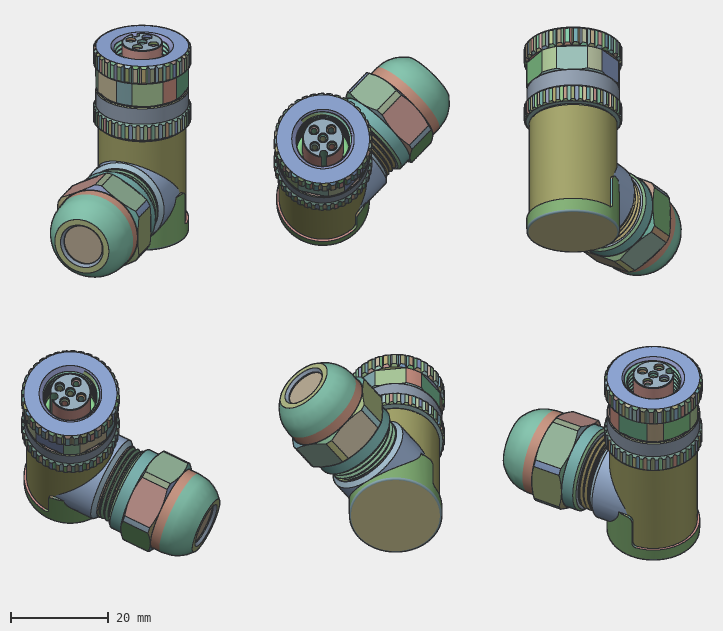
import cadquery as cq
import math


gland_axis_z = 10.7
housing_top_z = 25.2
sleeve_top_z = 32.6
nut_top_z = 42.1
insert_top_z = 43.0

body_radius = 9.0
body_top_chamfer = 0.55
cap_radius = 9.5
cap_rim_height = 3.0
cap_corner_radius = 1.0
cap_bottom_fillet = 0.4
branch_radius = 8.9
branch_end = 9.5

gland_thread_radius = 8.0
gland_thread_root = 7.4
shoulder_end = branch_end + branch_radius - gland_thread_radius
shoulder_land = 0.3
gland_thread_start = shoulder_end + shoulder_land
gland_thread_phase = -0.22
thread_pitch = 1.0
thread_root_overlap = 0.1
thread_foot_width = 0.96
spigot_end = 18.0

gland_nut_start = 13.45
gland_hex_start = 16.5
gland_hex_end = 23.4
gland_dome_start = 25.5
gland_end = 31.5
gland_nut_radius = 8.9
gland_nut_chamfer = 0.5
gland_hex_flats = 18.0
gland_hex_corner_radius = 10.0
gland_hex_chamfer_length = 0.55
gland_face_radius = 6.0
gland_opening_radius = 4.75
gland_recess_radius = 4.25
gland_recess_taper = 0.65
gland_recess_depth = 0.9

hex_sides = 6

knurl_radius = 10.0
knurl_chamfer = 0.5
nut_tooth_count = 36
nut_groove_width = 0.85
sleeve_groove_count = 40
sleeve_groove_radius = 0.45
sleeve_groove_offset = 0.15

sleeve_radius = 9.5
sleeve_top_chamfer = 0.2
sleeve_knurl_top_z = 28.9
sleeve_knurl_bottom_chamfer = 0.35

nut_knurl_bottom_z = 38.0
nut_corner_radius = 9.5
nut_hex_flats = 17.9
nut_hex_bottom_radius = 8.9
nut_hex_chamfer_height = 0.4
nut_thread_minor = 5.45
nut_thread_major = 6.05
nut_mouth_radius = 6.4
nut_thread_depth = 7.5
nut_thread_phase = 0.75

insert_radius = 4.15
insert_chamfer = 0.15
insert_base_radius = 5.8
key_slot_radius = 0.8
key_slot_centre_radius = 3.5
key_slot_angle = 135
contact_circle_radius = 2.5
contact_count = 4
contact_radius = 1.0
contact_recess = 0.6
contact_length = 10.0
socket_radius = 0.6
socket_mouth_radius = 0.9
socket_depth = 6.0
drill_point_angle = 118
ring_section_radius = (nut_thread_minor - insert_radius) / 2
ring_centre_radius = insert_radius + ring_section_radius


def cylinder(radius, bottom, top):
    """Cylinder on the Z axis between two heights."""
    return cq.Workplane("XY").workplane(offset=bottom).circle(radius).extrude(top - bottom)


def revolved(points):
    """Solid of revolution about Z from (radius, height) points."""
    return cq.Workplane("XZ").polyline(points).close().revolve(360, (0, 0), (0, 1))


def on_gland_axis(shape):
    """Turn a shape built along +Z so that it lies along the gland axis toward -Y."""
    return shape.rotate((0, 0, 0), (1, 0, 0), 90).translate((0, 0, gland_axis_z))


def helical_ridge(root_radius, tip_radius, start, end, phase):
    """Right-hand V-shaped thread ridge, cut off flat at both ends."""
    helix_start = math.floor(start) - thread_pitch + phase * thread_pitch
    helix_length = math.ceil(end - helix_start) + thread_pitch
    helix = cq.Wire.makeHelix(thread_pitch, helix_length, root_radius)
    foot_radius = root_radius - thread_root_overlap
    half_foot = thread_foot_width / 2
    profile = cq.Workplane("XZ").polyline(
        [(foot_radius, -half_foot), (tip_radius, 0), (foot_radius, half_foot)]
    ).close()
    ridge = profile.sweep(cq.Workplane(obj=helix), isFrenet=True).translate((0, 0, helix_start))
    return ridge.intersect(cylinder(tip_radius + thread_pitch, start, end))


def make_housing():
    body = cylinder(body_radius, 0, housing_top_z).faces(">Z").chamfer(body_top_chamfer)

    cap_side = (
        cq.Workplane("YZ")
        .moveTo(-cap_radius, 0)
        .lineTo(-cap_radius, gland_axis_z)
        .lineTo(-cap_corner_radius, gland_axis_z)
        .radiusArc((0, gland_axis_z - cap_corner_radius), cap_corner_radius)
        .lineTo(0, cap_rim_height + cap_corner_radius)
        .radiusArc((cap_corner_radius, cap_rim_height), -cap_corner_radius)
        .lineTo(cap_radius, cap_rim_height)
        .lineTo(cap_radius, 0)
        .close()
        .extrude(cap_radius, both=True)
    )
    cap = cylinder(cap_radius, 0, gland_axis_z).faces("<Z").fillet(cap_bottom_fillet)
    cap = cap.intersect(cap_side)

    branch = revolved([
        (0, 0),
        (branch_radius, 0),
        (branch_radius, branch_end),
        (gland_thread_radius, shoulder_end),
        (gland_thread_radius, gland_thread_start),
        (gland_thread_root, gland_thread_start),
        (gland_thread_root, spigot_end),
        (0, spigot_end),
    ])
    thread = helical_ridge(
        gland_thread_root, gland_thread_radius, gland_thread_start, gland_nut_start, gland_thread_phase
    )
    branch = branch.union(thread)
    return body.union(cap).union(on_gland_axis(branch))


def make_gland_nut():
    shell = (
        cq.Workplane("XZ")
        .moveTo(0, gland_nut_start)
        .lineTo(gland_nut_radius - gland_nut_chamfer, gland_nut_start)
        .lineTo(gland_nut_radius, gland_nut_start + gland_nut_chamfer)
        .lineTo(gland_nut_radius, gland_dome_start)
        .tangentArcPoint((gland_face_radius, gland_end), relative=False)
        .lineTo(0, gland_end)
        .close()
        .revolve(360, (0, 0), (0, 1))
    )
    flats_radius = gland_hex_flats / 2
    hexagon = (
        cq.Workplane("XY")
        .workplane(offset=gland_hex_start)
        .polygon(hex_sides, gland_hex_flats, circumscribed=True)
        .extrude(gland_hex_end - gland_hex_start)
    )
    hex_limit = revolved([
        (0, gland_hex_start),
        (flats_radius, gland_hex_start),
        (gland_hex_corner_radius, gland_hex_start + gland_hex_chamfer_length),
        (gland_hex_corner_radius, gland_hex_end - gland_hex_chamfer_length),
        (flats_radius, gland_hex_end),
        (0, gland_hex_end),
    ])
    cable_recess = revolved([
        (0, gland_end - gland_recess_depth),
        (gland_recess_radius, gland_end - gland_recess_depth),
        (gland_recess_radius, gland_end - gland_recess_taper),
        (gland_opening_radius, gland_end),
        (0, gland_end),
    ])
    nut = shell.union(hexagon.intersect(hex_limit))
    nut = nut.cut(cylinder(gland_thread_root, gland_nut_start, spigot_end)).cut(cable_recess)
    return on_gland_axis(nut)


def make_sleeve():
    """Knurled ring clamping the insert base onto the housing."""
    sleeve = cylinder(sleeve_radius, housing_top_z, sleeve_top_z).faces(">Z").chamfer(sleeve_top_chamfer)
    knurl = revolved([
        (0, housing_top_z),
        (knurl_radius - sleeve_knurl_bottom_chamfer, housing_top_z),
        (knurl_radius, housing_top_z + sleeve_knurl_bottom_chamfer),
        (knurl_radius, sleeve_knurl_top_z - knurl_chamfer),
        (knurl_radius - knurl_chamfer, sleeve_knurl_top_z),
        (0, sleeve_knurl_top_z),
    ])
    grooves = (
        cq.Workplane("XY")
        .workplane(offset=housing_top_z)
        .polarArray(knurl_radius + sleeve_groove_offset, 0, 360, sleeve_groove_count)
        .circle(sleeve_groove_radius)
        .extrude(sleeve_knurl_top_z - housing_top_z)
    )
    return sleeve.union(knurl.cut(grooves)).cut(cylinder(insert_base_radius, housing_top_z, sleeve_top_z))


def make_coupling_nut():
    """Knurled and hexagonal nut with an internal thread."""
    hexagon = (
        cq.Workplane("XY")
        .workplane(offset=sleeve_top_z)
        .polygon(hex_sides, nut_hex_flats, circumscribed=True)
        .extrude(nut_knurl_bottom_z - sleeve_top_z)
    )
    hex_limit = revolved([
        (0, sleeve_top_z),
        (nut_hex_bottom_radius, sleeve_top_z),
        (nut_corner_radius, sleeve_top_z + nut_hex_chamfer_height),
        (nut_corner_radius, nut_knurl_bottom_z),
        (0, nut_knurl_bottom_z),
    ])
    knurl = cylinder(knurl_radius, nut_knurl_bottom_z, nut_top_z).edges().chamfer(knurl_chamfer)
    valley_radius = knurl_radius - knurl_chamfer
    groove = (
        cq.Workplane("XY")
        .workplane(offset=nut_knurl_bottom_z)
        .polyline([
            (valley_radius, 0),
            (knurl_radius, -nut_groove_width / 2),
            (knurl_radius + knurl_chamfer, -nut_groove_width / 2),
            (knurl_radius + knurl_chamfer, nut_groove_width / 2),
            (knurl_radius, nut_groove_width / 2),
        ])
        .close()
        .extrude(nut_top_z - nut_knurl_bottom_z)
    )
    for tooth in range(nut_tooth_count):
        knurl = knurl.cut(groove.rotate((0, 0, 0), (0, 0, 1), tooth * 360 / nut_tooth_count))

    mouth_depth = nut_mouth_radius - nut_thread_minor
    bore = revolved([
        (0, sleeve_top_z),
        (nut_thread_minor, sleeve_top_z),
        (nut_thread_minor, nut_top_z - mouth_depth),
        (nut_mouth_radius, nut_top_z),
        (0, nut_top_z),
    ])
    thread = helical_ridge(
        nut_thread_minor, nut_thread_major, nut_top_z - nut_thread_depth, nut_top_z, nut_thread_phase
    )
    return hexagon.intersect(hex_limit).union(knurl).cut(bore).cut(thread)


def contact_space():
    """Room for a contact on the Z axis, open at the top of the insert."""
    return cylinder(contact_radius, insert_top_z - contact_recess - contact_length, insert_top_z)


def socket(end_depth):
    """Countersunk bore on the Z axis; end_depth is the height of its conical end (0 for flat)."""
    top = insert_top_z - contact_recess
    countersink_depth = socket_mouth_radius - socket_radius
    return revolved([
        (0, top),
        (socket_mouth_radius, top),
        (socket_radius, top - countersink_depth),
        (socket_radius, top - socket_depth),
        (0, top - socket_depth - end_depth),
    ])


contact_places = [
    (
        contact_circle_radius * math.cos(2 * math.pi * index / contact_count),
        contact_circle_radius * math.sin(2 * math.pi * index / contact_count),
        0,
    )
    for index in range(contact_count)
]


def make_insert():
    insert = cylinder(insert_radius, sleeve_top_z, insert_top_z).faces(">Z").chamfer(insert_chamfer)
    insert = insert.union(cylinder(insert_base_radius, housing_top_z, sleeve_top_z))
    slot_angle = math.radians(key_slot_angle)
    key_slot = cylinder(key_slot_radius, sleeve_top_z, insert_top_z).translate((
        key_slot_centre_radius * math.cos(slot_angle),
        key_slot_centre_radius * math.sin(slot_angle),
        0,
    ))
    insert = insert.cut(key_slot)
    for place in contact_places:
        insert = insert.cut(contact_space().translate(place))
    middle_recess = cylinder(contact_radius, insert_top_z - contact_recess, insert_top_z)
    return insert.cut(middle_recess).cut(socket(end_depth=0))


def make_contact(place):
    top = insert_top_z - contact_recess
    drill_point = socket_radius / math.tan(math.radians(drill_point_angle / 2))
    pin = cylinder(contact_radius, top - contact_length, top).cut(socket(drill_point))
    return pin.translate(place)


def make_sealing_ring():
    """O-ring around the insert, resting on the top of its base."""
    return (
        cq.Workplane("XZ")
        .center(ring_centre_radius, sleeve_top_z + ring_section_radius)
        .circle(ring_section_radius)
        .revolve(360, (-ring_centre_radius, 0), (-ring_centre_radius, 1))
    )


housing = make_housing()
gland_nut = make_gland_nut()
sleeve = make_sleeve()
coupling_nut = make_coupling_nut()
insert = make_insert()
sealing_ring = make_sealing_ring()
contacts = [make_contact(place) for place in contact_places]

result = cq.Compound.makeCompound([
    housing.val(),
    gland_nut.val(),
    sleeve.val(),
    coupling_nut.val(),
    insert.val(),
    sealing_ring.val(),
    *[contact.val() for contact in contacts],
])